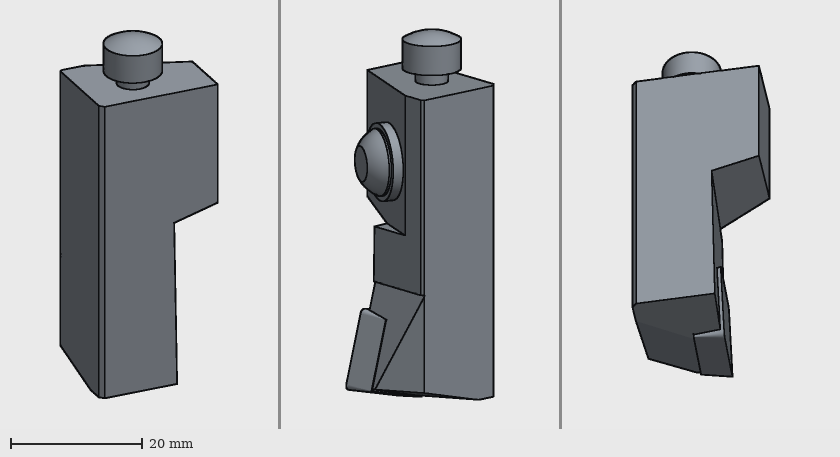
import cadquery as cq
import math


def tan(angle):
    return math.tan(math.radians(angle))


shank_width = 14.85
shank_depth = 19.75
shank_height = 49.05
edge_chamfer = 0.7
front_left_inset = 0.3
front_left_angle = 31.0

slope_angle = 20.0
slope_start_y = 4.2
ledge_z = 27.0

lead_angle = 15.0
rake_angle = 4.0
clearance_angle = 9.2

flare_top_z = 18.3
flare_step = 0.35
bottom_clearance_angle = 10.0
bottom_relief_x = 11.25
chip_space_offset = 0.6
chip_roof_y = 11.65
chip_roof_angle = 15.0

insert_side = 12.7
insert_thickness = 4.75
insert_corner_radius = 0.8
tip_x = -5.3
tip_y = 12.1
tip_z = 2.05

screw_x = 8.8
screw_y = 8.25
neck_diameter = 5.0
neck_height = 2.05
head_diameter = 9.0
head_height = 4.6
dome_height = 1.3

button_y = 10.55
button_z = 37.05
flange_diameter = 12.0
flange_height = 1.6
button_dome_diameter = 10.4
button_top_diameter = 5.5
button_collar_height = 0.35
button_dome_height = 3.0

clear = 34.85


def insert_plane():
    """Raked top face: X runs along the lower cutting edge, Y points down the left edge."""
    lead = math.radians(lead_angle)
    rake = math.radians(rake_angle)
    lower_edge = cq.Vector(math.cos(lead), 0, -math.sin(lead))
    back = cq.Vector(0, 1, 0)
    return cq.Plane(
        origin=(tip_x, tip_y, tip_z),
        xDir=lower_edge * math.cos(rake) + back * math.sin(rake),
        normal=back * math.cos(rake) - lower_edge * math.sin(rake),
    )


def make_insert():
    """Square cutting insert, tapered from its top face by the clearance angle."""
    half = insert_side / 2
    return (
        cq.Workplane(insert_plane())
        .center(half, -half)
        .sketch()
        .rect(insert_side, insert_side)
        .vertices()
        .fillet(insert_corner_radius)
        .finalize()
        .extrude(-insert_thickness, taper=clearance_angle)
    )


def make_shank_and_nose():
    """Side outline with the flared nose, extruded to the full depth."""
    return (
        cq.Workplane("XZ")
        .moveTo(shank_width, 0)
        .lineTo(shank_width, shank_height)
        .lineTo(0, shank_height)
        .lineTo(0, flare_top_z)
        .lineTo(flare_step, flare_top_z)
        .lineTo(flare_step - flare_top_z * tan(lead_angle), 0)
        .close()
        .extrude(-shank_depth)
        .edges("|Z and >X and <Y")
        .chamfer(edge_chamfer)
    )


def front_left_relief():
    """Vertical wedge that relieves the shank corner and the nose flank."""
    return (
        cq.Workplane("XY")
        .moveTo(front_left_inset, 0)
        .lineTo(front_left_inset - shank_depth * tan(front_left_angle), shank_depth)
        .lineTo(-clear, shank_depth)
        .lineTo(-clear, 0)
        .close()
        .extrude(shank_height)
    )


def slope_cut():
    """Removes the upper left side down to the ledge."""
    slope_back_x = (shank_depth - slope_start_y) * tan(slope_angle)
    return (
        cq.Workplane("XY", origin=(0, 0, ledge_z))
        .moveTo(0, slope_start_y)
        .lineTo(slope_back_x, shank_depth)
        .lineTo(0, shank_depth)
        .close()
        .extrude(shank_height - ledge_z)
    )


def bottom_relief():
    """Removes everything below the raked bottom flank of the nose."""
    slope_x = cq.Vector(1, 0, -tan(lead_angle))
    slope_y = cq.Vector(0, 1, -tan(bottom_clearance_angle))
    plane = cq.Plane(origin=(bottom_relief_x, 0, 0), xDir=slope_x, normal=slope_x.cross(slope_y))
    return cq.Workplane(plane).rect(2 * clear, 2 * clear).extrude(-clear)


def chip_space():
    """Space behind the raked face, closed above by a rising roof."""
    behind_rake = (
        cq.Workplane(insert_plane())
        .workplane(offset=-chip_space_offset)
        .rect(3 * clear, 3 * clear)
        .extrude(clear)
    )
    front_y = chip_roof_y / 2
    under_roof = (
        cq.Workplane("YZ", origin=(-clear, 0, 0))
        .moveTo(front_y, -clear)
        .lineTo(front_y, ledge_z)
        .lineTo(chip_roof_y, ledge_z)
        .lineTo(shank_depth, ledge_z + (shank_depth - chip_roof_y) * tan(chip_roof_angle))
        .lineTo(shank_depth, -clear)
        .close()
        .extrude(2 * clear)
    )
    return behind_rake.intersect(under_roof)


def adjusting_screw():
    """Necked screw with a domed head, turned about a vertical axis."""
    head_base = neck_height
    head_top = head_base + head_height
    neck_radius = neck_diameter / 2
    head_radius = head_diameter / 2
    dome_radius = (head_radius**2 + dome_height**2) / (2 * dome_height)
    half_angle = math.asin(head_radius / dome_radius) / 2
    dome_mid = (
        dome_radius * math.sin(half_angle),
        head_top + dome_height - dome_radius * (1 - math.cos(half_angle)),
    )
    return (
        cq.Workplane("XZ", origin=(screw_x, screw_y, shank_height))
        .lineTo(neck_radius, 0)
        .lineTo(neck_radius, head_base)
        .lineTo(head_radius, head_base)
        .lineTo(head_radius, head_top)
        .threePointArc(dome_mid, (0, head_top + dome_height))
        .close()
        .revolve(360, (0, 0), (0, 1))
    )


def button():
    """Flanged, flat-topped dome, turned about the normal of the sloping face."""
    slope = math.radians(slope_angle)
    outward = (-math.cos(slope), math.sin(slope), 0)
    along_face = (math.sin(slope), math.cos(slope), 0)
    base_x = (button_y - slope_start_y) * tan(slope_angle)
    plane = cq.Plane(
        origin=(base_x, button_y, button_z),
        xDir=along_face,
        normal=cq.Vector(*along_face).cross(cq.Vector(*outward)),
    )
    rim_radius = button_dome_diameter / 2
    top_radius = button_top_diameter / 2
    rim_height = flange_height + button_collar_height
    top_height = flange_height + button_dome_height
    centre = (top_radius**2 + top_height**2 - rim_radius**2 - rim_height**2) / (
        2 * (top_height - rim_height)
    )
    sphere_radius = math.hypot(rim_radius, rim_height - centre)
    mid_radius = (rim_radius + top_radius) / 2
    mid_height = centre + math.sqrt(sphere_radius**2 - mid_radius**2)
    return (
        cq.Workplane(plane)
        .lineTo(flange_diameter / 2, 0)
        .lineTo(flange_diameter / 2, flange_height)
        .lineTo(rim_radius, flange_height)
        .lineTo(rim_radius, rim_height)
        .threePointArc((mid_radius, mid_height), (top_radius, top_height))
        .lineTo(0, top_height)
        .close()
        .revolve(360, (0, 0), (0, 1))
    )


def make_holder(seated_insert):
    """Shank with nose, insert pocket, screw and button as one solid."""
    return (
        make_shank_and_nose()
        .cut(front_left_relief())
        .cut(slope_cut())
        .cut(bottom_relief())
        .cut(chip_space())
        .cut(seated_insert)
        .union(adjusting_screw())
        .union(button())
    )


insert = make_insert()
holder = make_holder(insert)
result = cq.Compound.makeCompound([holder.val(), insert.val()])